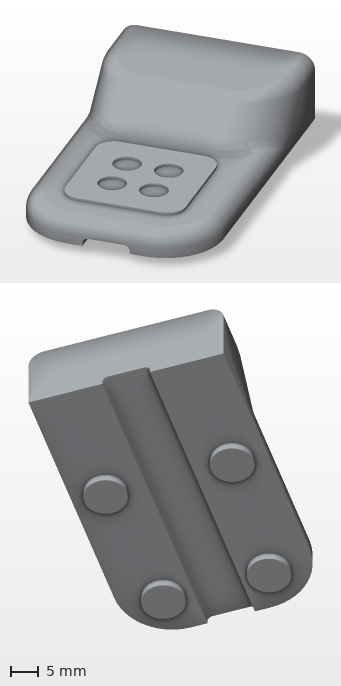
import cadquery as cq
import math

width = 37.0
length = 60.0
plate_height = 5.0
block_height = 13.0
edge_radius = 3.0

plate_corner_radius = 11.0
block_corner_radius = 10.0
slope_foot_y = 28.0

pad_size = 23.0
pad_center_y = 18.55
pad_height = 0.6
pad_corner_radius = 3.5
recess_diameter = 5.35
recess_spacing = 8.0
recess_depth = pad_height

channel_width = 9.0
channel_height = 1.6
channel_corner_radius = 1.0

foot_diameter = 8.0
foot_height = 1.5
front_foot_x = 10.0
front_foot_y = 8.5
rear_foot_x = 12.0
rear_foot_y = 35.5


def make_plate():
    """Low plate over the full length, rounded at its front corners."""
    plate = cq.Workplane("XY").box(width, length, plate_height, centered=(True, False, False))
    plate = plate.edges("|Z and <Y").fillet(plate_corner_radius)
    return plate.faces(">Z").edges("not >Y").fillet(edge_radius)


def make_block():
    """Tall rear block with a 45 degree front face and large rounded corners."""
    block = (
        cq.Workplane("YZ")
        .moveTo(slope_foot_y, 0)
        .lineTo(length, 0)
        .lineTo(length, block_height)
        .lineTo(slope_foot_y + block_height, block_height)
        .close()
        .extrude(width / 2, both=True)
    )
    slope = cq.Vector(0, 1, 1)
    block = block.edges(cq.selectors.ParallelDirSelector(slope)).fillet(block_corner_radius)
    return block.faces(">Z").edges("not >Y").fillet(edge_radius)


def blend_slope_into_plate(body):
    """Round the inside corner along the foot of the sloped face, from side to side."""
    margin = 0.05
    corner_y = slope_foot_y + plate_height
    corner_depth = block_corner_radius * math.sqrt(2)
    corner_zone = cq.selectors.BoxSelector(
        (-width, corner_y - margin, plate_height - edge_radius - margin),
        (width, corner_y + corner_depth, plate_height + margin),
        boundingbox=True,
    )
    return body.edges(corner_zone).fillet(edge_radius)


def make_pad():
    """Raised rounded square, sitting on the plate."""
    return (
        cq.Workplane("XY", origin=(0, pad_center_y, plate_height))
        .rect(pad_size, pad_size)
        .extrude(pad_height)
        .edges("|Z")
        .fillet(pad_corner_radius)
    )


def make_recesses():
    """Square pattern of four shallow round pockets, cut down from the pad surface."""
    return (
        cq.Workplane("XY", origin=(0, pad_center_y, plate_height + pad_height))
        .rarray(recess_spacing, recess_spacing, 2, 2)
        .circle(recess_diameter / 2)
        .extrude(-recess_depth)
    )


def make_channel():
    """Cutter for the underside channel, rounded at its two upper corners."""
    channel = cq.Workplane("XY").box(channel_width, length, channel_height, centered=(True, False, False))
    return channel.edges("|Y and >Z").fillet(channel_corner_radius)


def make_feet():
    """Four round feet below the underside, the rear pair set wider apart."""
    foot_centers = [
        (side * foot_x, foot_y)
        for side in (-1, 1)
        for foot_x, foot_y in ((front_foot_x, front_foot_y), (rear_foot_x, rear_foot_y))
    ]
    return cq.Workplane("XY").pushPoints(foot_centers).circle(foot_diameter / 2).extrude(-foot_height)


body = blend_slope_into_plate(make_plate().union(make_block()))
result = body.union(make_pad()).cut(make_recesses()).cut(make_channel()).union(make_feet())